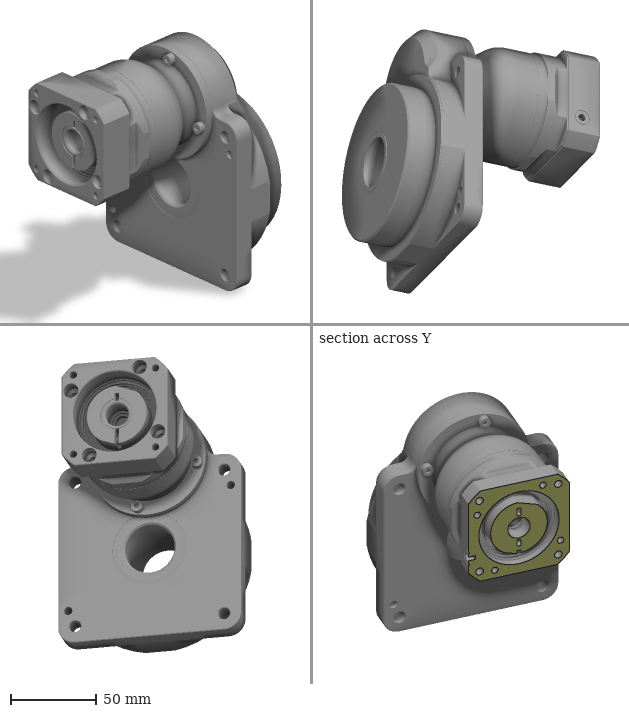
import cadquery as cq
import math


far = 144.0
input_z = 54.0
plate_depth = 27.0
front_layer = 12.0
lip_depth = 1.2
spigot_depth = 17.5
boss_depth = 0.5
layer_back = plate_depth - lip_depth
spigot_back = plate_depth + spigot_depth
boss_back = spigot_back + boss_depth

plate_half = 55.0
plate_corner = 10.0
plate_edge_chamfer = 0.5
disc_radius = 56.0
lip_radius = 55.7
spigot_radius = 47.5
spigot_chamfer = 1.0
boss_radius = 35.0 / 2
head_radius = 35.0
head_chamfer = 6.0
blend_radius = 6.0
notch_margin = 1.5

bore_radius = 15.0
bore_chamfer = 1.0
sleeve_radius = 22.5
sleeve_recess = 0.3

mount_offset = 45.0
mount_radius = 7.0 / 2
mount_chamfer = 0.5
dowel_x = 49.0
dowel_z = 35.0
dowel_radius = 5.0 / 2

ring_end = 5.0
neck_radius = 26.5
neck_end = 12.5
body_radius = 34.0
waist_angle = math.radians(34)
waist_inner_radius = 10.0
waist_outer_radius = 15.3
seam_at = 45.0
seam_width = 0.3
seam_depth = 0.1
body_end = 51.4
collar_radius = 35.0
flat_upper = 34.0
flat_lower = 31.1
flat_step_at = 55.7

ring_screw_circle = 30.8
ring_screw_turn = 10.4
ring_screw_radius = 6.8 / 2
ring_screw_head = 4.0
socket_depth = 2.2
ring_socket = 3.3

flange_front = 86.0
flange_depth = 21.3
flange_back = flange_front - flange_depth
flange_half = 31.8
flange_corner_radius = 40.0
pad_depth = 0.9
pad_inset = 0.7
flange_chamfer = 0.5
chamber_steps = [
    (25.0, 13.8),
    (24.3, 15.1),
    (22.8, 16.5),
    (21.6, 17.7),
    (20.5, 18.9),
    (19.6, 20.2),
]
chamber_chamfer = 0.6
thread_offset = 24.8
thread_radius = 4.5 / 2
thread_depth = 11.5
flange_screw_circle = 30.2
flange_screw_turn = 30.0
flange_screw_radius = 9.0 / 2
flange_screw_depth = 8.6
flange_socket = 4.2
plug_back = 11.8
plug_drop = 14.3
plug_groove_outer = 9.5 / 2
plug_groove_inner = 8.5 / 2
plug_groove_depth = 0.5
plug_socket = 5.0
plug_socket_depth = 4.3

hub_radius = 18.0
hub_recess = 5.9
hub_flat_upper = 16.7
hub_flat_lower = 17.5
hub_flat_angle = 71.4
hub_steps = [(6.9, 13.0), (5.8, 14.4), (4.3, 17.3)]
hub_bore_chamfer = 0.9
hub_groove_outer = 10.1
hub_groove_inner = 8.6
hub_groove_depth = 0.6
slot_width = 2.5
slot_top = 13.5
slot_depth = 8.6
clamp_screw_radius = 5.0 / 2
ramp_top = -1.2
ramp_radius = 3.6


def cylinder(x, z, radius, y_start, y_end):
    """Cylinder parallel to Y between two Y positions."""
    length = y_end - y_start
    return cq.Workplane(cq.Solid.makeCylinder(radius, length, cq.Vector(x, y_start, z), cq.Vector(0, 1, 0)))


def cone(x, z, radius_start, radius_end, y_start, y_end):
    """Truncated cone parallel to Y between two Y positions."""
    length = y_end - y_start
    start = cq.Vector(x, y_start, z)
    return cq.Workplane(cq.Solid.makeCone(radius_start, radius_end, length, start, cq.Vector(0, 1, 0)))


def block(x_range, y_range, z_range):
    """Box between pairs of coordinates."""
    corner = cq.Vector(x_range[0], y_range[0], z_range[0])
    sizes = [high - low for low, high in (x_range, y_range, z_range)]
    return cq.Workplane(cq.Solid.makeBox(*sizes, corner))


def hexagon(x, z, across_corners, y_start, y_end):
    """Hexagonal prism parallel to Y."""
    plane = cq.Plane((x, y_start, z), (1, 0, 0), (0, 1, 0))
    return cq.Workplane(plane).polygon(6, across_corners).extrude(y_end - y_start)


def around_input(radius, turn):
    """Four equally spaced places around the input axis; turn is measured from +Z towards +X."""
    places = []
    for quarter in range(4):
        angle = math.radians(turn + 90 * quarter)
        places.append((radius * math.sin(angle), input_z + radius * math.cos(angle)))
    return places


def make_head():
    """Round head with concave blends down to the top edge of the plate."""
    blend_z = plate_half + blend_radius
    reach = head_radius + blend_radius
    blend_x = math.sqrt(reach**2 - (blend_z - input_z)**2)
    tangent_x = blend_x * head_radius / reach
    tangent_z = input_z + (blend_z - input_z) * head_radius / reach
    blend_middle = (math.atan2(tangent_z - blend_z, blend_x - tangent_x) - math.pi / 2) / 2
    middle_x = blend_x - blend_radius * math.cos(blend_middle)
    middle_z = blend_z + blend_radius * math.sin(blend_middle)
    head = (
        cq.Workplane("XZ", origin=(0, layer_back, 0))
        .moveTo(-blend_x, 0)
        .lineTo(blend_x, 0)
        .lineTo(blend_x, plate_half)
        .threePointArc((middle_x, middle_z), (tangent_x, tangent_z))
        .threePointArc((0, input_z + head_radius), (-tangent_x, tangent_z))
        .threePointArc((-middle_x, middle_z), (-blend_x, plate_half))
        .close()
        .extrude(layer_back)
    )
    return head.faces(">Y").edges("%CIRCLE").chamfer(head_chamfer)


def make_housing():
    """Square front layer, round back layer with the head strip, lip, spigot and boss."""
    head = make_head()
    square = block((-plate_half, plate_half), (0, front_layer), (-plate_half, plate_half))
    square = square.edges("|Y").fillet(plate_corner)
    front = square.union(head.intersect(block((-far, far), (0, front_layer), (0, far))))
    front = front.faces("<Y").edges().chamfer(plate_edge_chamfer)

    bounds = block((-plate_half, plate_half), (front_layer, plate_depth), (-plate_half, far))
    disc = cylinder(0, 0, disc_radius, front_layer, layer_back).intersect(bounds)
    strip = head.intersect(block((-head_radius, head_radius), (front_layer, layer_back), (0, far)))
    back = disc.union(strip)
    notch_z = math.sqrt(disc_radius**2 - head_radius**2)
    for side in (-head_radius, head_radius):
        notch = cq.selectors.BoxSelector(
            (side - notch_margin, 0, notch_z - notch_margin),
            (side + notch_margin, plate_depth, notch_z + notch_margin),
        )
        back = back.edges("|Y").edges(notch).fillet(blend_radius)

    lip = cylinder(0, 0, lip_radius, layer_back, plate_depth).intersect(bounds)
    spigot = cylinder(0, 0, spigot_radius, plate_depth, spigot_back).faces(">Y").chamfer(spigot_chamfer)
    boss = cylinder(0, 0, boss_radius, spigot_back, boss_back)
    return front.union(back).union(lip).union(spigot).union(boss)


def cut_housing_holes(housing):
    housing = housing.cut(cylinder(0, 0, sleeve_radius, 0, sleeve_recess))
    bore_front = sleeve_recess + bore_chamfer
    housing = housing.cut(cylinder(0, 0, bore_radius, 0, boss_back))
    housing = housing.cut(cone(0, 0, bore_radius + bore_chamfer, bore_radius, sleeve_recess, bore_front))
    for x in (-mount_offset, mount_offset):
        for z in (-mount_offset, mount_offset):
            housing = housing.cut(cylinder(x, z, mount_radius, 0, plate_depth))
            housing = housing.cut(cone(x, z, mount_radius + mount_chamfer, mount_radius, 0, mount_chamfer))
    for side in (-1, 1):
        housing = housing.cut(cylinder(side * dowel_x, side * dowel_z, dowel_radius, 0, plate_depth))
    return housing


def make_gearbox():
    """Turned body with a curved waist and a seam groove."""
    sine = math.sin(waist_angle)
    drop = 1 - math.cos(waist_angle)
    half_sine = math.sin(waist_angle / 2)
    half_drop = 1 - math.cos(waist_angle / 2)
    curve_1 = neck_end + waist_inner_radius * sine
    radius_1 = neck_radius + waist_inner_radius * drop
    radius_2 = body_radius - waist_outer_radius * drop
    curve_2 = curve_1 + (radius_2 - radius_1) / math.tan(waist_angle)
    curve_3 = curve_2 + waist_outer_radius * sine
    inner_middle = (neck_radius + waist_inner_radius * half_drop, -neck_end - waist_inner_radius * half_sine)
    outer_middle = (body_radius - waist_outer_radius * half_drop, -curve_3 + waist_outer_radius * half_sine)
    body = (
        cq.Workplane("XY", origin=(0, 0, input_z))
        .lineTo(head_radius, 0)
        .lineTo(head_radius, -ring_end)
        .lineTo(neck_radius, -ring_end)
        .lineTo(neck_radius, -neck_end)
        .threePointArc(inner_middle, (radius_1, -curve_1))
        .lineTo(radius_2, -curve_2)
        .threePointArc(outer_middle, (body_radius, -curve_3))
        .lineTo(body_radius, -seam_at)
        .lineTo(body_radius - seam_depth, -seam_at)
        .lineTo(body_radius - seam_depth, -seam_at - seam_width)
        .lineTo(body_radius, -seam_at - seam_width)
        .lineTo(body_radius, -body_end)
        .lineTo(0, -body_end)
        .close()
        .revolve(360, (0, 0, 0), (0, 1, 0))
    )
    return body.union(make_collar())


def make_collar():
    """Round collar behind the flange with four stepped flats."""
    collar = cylinder(0, input_z, collar_radius, -flange_back, -body_end)
    slope_end = flat_step_at + flat_upper - flat_lower
    outside = 2 * collar_radius
    cutter = (
        cq.Workplane("XY", origin=(0, 0, input_z - collar_radius))
        .moveTo(outside, -body_end)
        .lineTo(flat_upper, -body_end)
        .lineTo(flat_upper, -flat_step_at)
        .lineTo(flat_lower, -slope_end)
        .lineTo(flat_lower, -flange_back)
        .lineTo(outside, -flange_back)
        .close()
        .extrude(2 * collar_radius)
    )
    for quarter in range(4):
        collar = collar.cut(cutter.rotate((0, 0, input_z), (0, 1, input_z), 90 * quarter))
    return collar


def add_ring_screws(part):
    head_end = ring_end + ring_screw_head
    for x, z in around_input(ring_screw_circle, ring_screw_turn):
        screw = cylinder(x, z, ring_screw_radius, -head_end, -ring_end)
        screw = screw.cut(hexagon(x, z, ring_socket, -head_end, -head_end + socket_depth))
        part = part.union(screw)
    return part


def rounded_square(inset, y_start, y_end):
    """Square around the input axis whose corners lie on a circle."""
    half = flange_half - inset
    square = block((-half, half), (y_start, y_end), (input_z - half, input_z + half))
    return square.intersect(cylinder(0, input_z, flange_corner_radius - inset, y_start, y_end))


def make_flange():
    flange = rounded_square(0, -flange_front, -flange_back - pad_depth)
    pad = rounded_square(pad_inset, -flange_back - pad_depth, -flange_back)
    return flange.faces("<Y").edges().chamfer(flange_chamfer).union(pad)


def cut_chamber(part):
    for radius, depth in chamber_steps:
        part = part.cut(cylinder(0, input_z, radius, -flange_front, -flange_front + depth))
    radius = chamber_steps[0][0]
    edge_end = -flange_front + chamber_chamfer
    return part.cut(cone(0, input_z, radius + chamber_chamfer, radius, -flange_front, edge_end))


def cut_flange_holes(part):
    for x in (-thread_offset, thread_offset):
        for z in (input_z - thread_offset, input_z + thread_offset):
            bottom = -flange_front + thread_depth
            part = part.cut(cylinder(x, z, thread_radius, -flange_front, bottom))
            part = part.cut(cone(x, z, thread_radius, 0, bottom, bottom + thread_radius))
    for x, z in around_input(flange_screw_circle, flange_screw_turn):
        bottom = -flange_front + flange_screw_depth
        part = part.cut(cylinder(x, z, flange_screw_radius, -flange_front, bottom))
        socket_end = bottom + socket_depth
        tip_radius = flange_socket / 2 * math.cos(math.pi / 6)
        part = part.cut(hexagon(x, z, flange_socket, bottom, socket_end))
        part = part.cut(cone(x, z, tip_radius, 0, socket_end, socket_end + tip_radius))
    return part


def cut_plug(part):
    """Flush socket plug in the -X face of the flange."""
    plane = cq.Plane((-flange_half, plug_back - flange_front, input_z - plug_drop), (0, 1, 0), (1, 0, 0))
    face = cq.Workplane(plane)
    groove = face.circle(plug_groove_outer).circle(plug_groove_inner).extrude(plug_groove_depth)
    socket = face.polygon(6, plug_socket).extrude(plug_socket_depth)
    return part.cut(groove).cut(socket)


def make_hub():
    """Slotted clamping hub standing in the flange chamber."""
    hub_front = hub_recess - flange_front
    hub_back = chamber_steps[-1][1] - flange_front
    hub = cylinder(0, input_z, hub_radius, hub_front, hub_back)
    flats = block((-hub_flat_lower, hub_flat_upper), (hub_front, hub_back), (input_z - hub_radius, input_z + hub_radius))
    hub = hub.intersect(flats.rotate((0, 0, input_z), (0, 1, input_z), -hub_flat_angle))
    groove = cylinder(0, input_z, hub_groove_outer, hub_front, hub_front + hub_groove_depth)
    groove = groove.cut(cylinder(0, input_z, hub_groove_inner, hub_front, hub_front + hub_groove_depth))
    hub = hub.cut(groove)
    slot = block(
        (-slot_width / 2, slot_width / 2),
        (hub_front, hub_front + slot_depth),
        (input_z - hub_radius, input_z + slot_top),
    )
    hub = hub.cut(slot.cut(cylinder(0, input_z, hub_groove_inner, hub_front, hub_back)))
    return hub.union(make_clamp_screw())


def make_clamp_screw():
    """Shank of the clamping screw where it crosses the hub slot, in line with the plug."""
    start = cq.Vector(-slot_width, plug_back - flange_front, input_z - plug_drop)
    return cq.Workplane(cq.Solid.makeCylinder(clamp_screw_radius, 2 * slot_width, start, cq.Vector(1, 0, 0)))


def cut_hub_bore(part):
    hub_front = hub_recess - flange_front
    for radius, depth in hub_steps:
        part = part.cut(cylinder(0, input_z, radius, hub_front, hub_front + depth))
    radius = hub_steps[0][0]
    part = part.cut(cone(0, input_z, radius + hub_bore_chamfer, radius, hub_front, hub_front + hub_bore_chamfer))
    bottom = hub_front + hub_steps[-1][1]
    ramp_depth = ramp_radius + ramp_top
    ramp = (
        cq.Workplane("YZ", origin=(-ramp_radius, bottom, input_z))
        .moveTo(0, ramp_top)
        .lineTo(ramp_depth, -ramp_radius)
        .lineTo(0, -ramp_radius)
        .close()
        .extrude(2 * ramp_radius)
    )
    return part.cut(ramp.intersect(cylinder(0, input_z, ramp_radius, bottom, bottom + ramp_depth)))


result = cut_housing_holes(make_housing())
result = result.union(make_gearbox()).union(make_flange())
result = add_ring_screws(result)
result = cut_plug(cut_flange_holes(cut_chamber(result)))
result = cut_hub_bore(result.union(make_hub()))